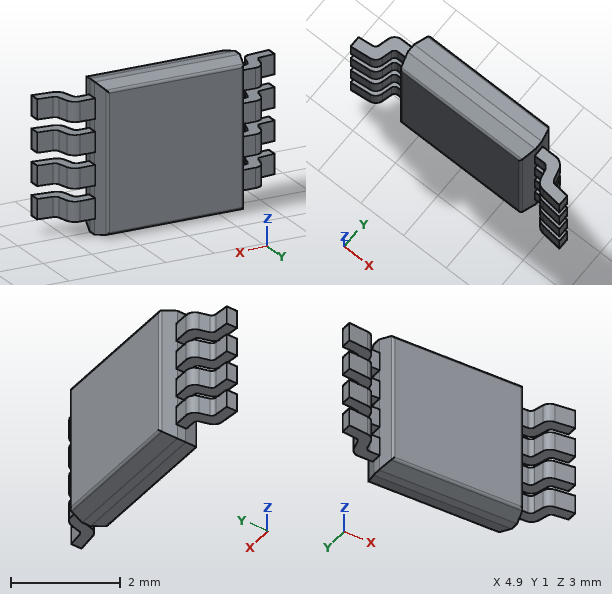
import cadquery as cq
import math


tip_to_tip = 4.9
standoff = 0.15

housing_side = 3.0
housing_thickness = 0.85
band_thickness = 0.185
draft_angle = 15.0
face_edge_radius = 0.06

leads_per_side = 4
lead_pitch = 0.65
lead_width = 0.4
lead_thickness = 0.23
shoulder_length = 0.29
leg_tilt = math.radians(15.0)
foot_tilt = math.radians(6.0)
inner_bend_radius = 0.1
outer_bend_radius = 0.2

housing_half_side = housing_side / 2
lead_tip_x = tip_to_tip / 2
foot_tip_y = -housing_thickness / 2 - standoff


def make_housing():
    """Square housing with a straight belt and a drafted half on either side."""
    half_band = band_thickness / 2
    drafted_height = housing_thickness / 2 - half_band
    front_half = (
        cq.Workplane("XZ")
        .rect(housing_side, housing_side)
        .extrude(half_band)
        .faces("<Y")
        .workplane()
        .rect(housing_side, housing_side)
        .extrude(drafted_height, taper=draft_angle)
    )
    back_half = front_half.mirror("XZ")
    return front_half.union(back_half).faces("<Y or >Y").edges().fillet(face_edge_radius)


def foot_corner(shoulder_corner, tip_corner):
    """Sharp corner where the sloping leg face meets the sloping foot face."""
    shoulder_x, shoulder_y = shoulder_corner
    tip_x, tip_y = tip_corner
    leg_slope = math.tan(leg_tilt)
    foot_slope = math.tan(foot_tilt)
    y_at_shoulder_x = tip_y + foot_slope * (tip_x - shoulder_x)
    drop = (shoulder_y - y_at_shoulder_x) / (1 - leg_slope * foot_slope)
    return shoulder_x + leg_slope * drop, shoulder_y - drop


def make_right_lead():
    """Gull-wing lead on the +X side, centred on Z = 0."""
    half_thickness = lead_thickness / 2
    shoulder_x = housing_half_side + shoulder_length
    leg_width_in_x = lead_thickness / math.cos(leg_tilt)
    back_shift = leg_width_in_x - lead_thickness * math.tan(leg_tilt)

    front_shoulder = (shoulder_x, -half_thickness)
    back_shoulder = (shoulder_x + back_shift, half_thickness)
    front_tip = (lead_tip_x, foot_tip_y)
    back_tip = (lead_tip_x, foot_tip_y + lead_thickness / math.cos(foot_tilt))
    front_heel = foot_corner(front_shoulder, front_tip)
    back_heel = foot_corner(back_shoulder, back_tip)

    lead = (
        cq.Workplane("XY")
        .polyline([
            (housing_half_side, -half_thickness),
            front_shoulder,
            front_heel,
            front_tip,
            back_tip,
            back_heel,
            back_shoulder,
            (housing_half_side, half_thickness),
        ])
        .close()
        .extrude(lead_width / 2, both=True)
    )
    bends = [
        (front_shoulder, inner_bend_radius),
        (back_heel, inner_bend_radius),
        (front_heel, outer_bend_radius),
        (back_shoulder, outer_bend_radius),
    ]
    for (x, y), radius in bends:
        corner_edge = cq.NearestToPointSelector((x, y, 0))
        lead = lead.edges("|Z").edges(corner_edge).fillet(radius)
    return lead


housing = make_housing()

right_lead = make_right_lead()
left_lead = right_lead.mirror("YZ")
leads = []
for index in range(leads_per_side):
    lead_z = (index - (leads_per_side - 1) / 2) * lead_pitch
    for lead in (left_lead, right_lead):
        leads.append(lead.translate((0, 0, lead_z)).val())

result = cq.Compound.makeCompound([housing.val(), *leads])